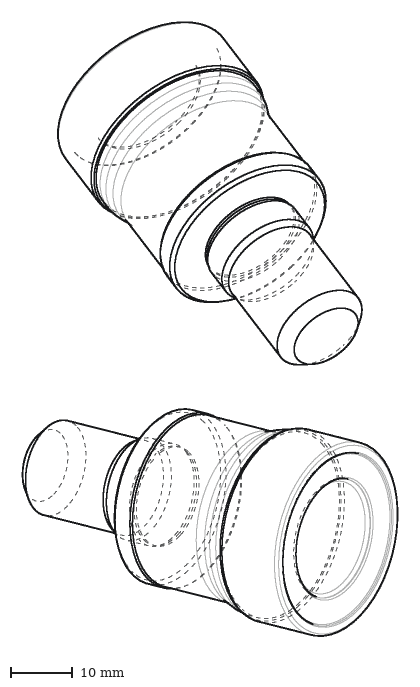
import cadquery as cq

total_length = 59.95

cap_radius = 32.1 / 2
cap_length = 11.75
front_edge = 0.5
rear_edge = 0.55
rear_edge_depth = 0.25
rim_inner_radius = 14.45
rim_rounding = 0.2
dish_end = 0.7
recess_radius = 9.85
recess_floor = 1.7
recess_edge = 0.3
floor_rounding = 0.55

neck_radius = 30.8 / 2
barrel_radius = 28.6 / 2
neck_end = 13.0
slope_start = 14.45
slope_end = 15.9
barrel_start = 17.9

flange_radius = 29.0 / 2
flange_ramp_start = 30.9
flange_start = 31.25
flange_end = 34.9
flange_chamfer = 0.6

collar_radius = 17.0 / 2
relief_radius = 8.2
relief_end = 35.4
collar_start = 36.1
collar_end = 40.8
shaft_start = 41.9
shaft_radius = 15.8 / 2
tip_chamfer_length = 2.15
tip_radius = 5.95


def revolve_about_x(profile):
    """Turn a closed profile, drawn as (x, radius), fully about the X axis."""
    return profile.close().revolve(360, (0, 0, 0), (1, 0, 0))


def make_cap():
    step_radius = rim_inner_radius - rim_rounding
    dish_start = 2 * rim_rounding
    wall_start = dish_end + recess_edge
    wall_end = recess_floor - floor_rounding

    profile = (
        cq.Workplane("XY")
        .moveTo(recess_floor, 0)
        .lineTo(recess_floor, recess_radius - floor_rounding)
        .tangentArcPoint((wall_end, recess_radius), relative=False)
        .lineTo(wall_start, recess_radius)
        .tangentArcPoint((dish_end, recess_radius + recess_edge), relative=False)
        .lineTo(dish_start, step_radius - rim_rounding)
        .radiusArc((rim_rounding, step_radius), -rim_rounding)
        .radiusArc((0, rim_inner_radius), rim_rounding)
        .lineTo(0, cap_radius - front_edge)
        .radiusArc((front_edge, cap_radius), front_edge)
        .lineTo(cap_length - rear_edge, cap_radius)
        .lineTo(cap_length, cap_radius - rear_edge_depth)
        .lineTo(cap_length, 0)
    )
    return revolve_about_x(profile)


def make_core():
    neck_corner = (neck_end + slope_start) / 2
    barrel_corner = (slope_end + barrel_start) / 2
    slope = (neck_radius - barrel_radius) / (barrel_corner - neck_corner)
    slope_start_radius = neck_radius - slope * (slope_start - neck_corner)
    slope_end_radius = barrel_radius + slope * (barrel_corner - slope_end)

    profile = (
        cq.Workplane("XY")
        .moveTo(cap_length, 0)
        .lineTo(cap_length, neck_radius)
        .lineTo(neck_end, neck_radius)
        .tangentArcPoint((slope_start, slope_start_radius), relative=False)
        .lineTo(slope_end, slope_end_radius)
        .tangentArcPoint((barrel_start, barrel_radius), relative=False)
        .lineTo(flange_ramp_start, barrel_radius)
        .lineTo(flange_start, flange_radius)
        .lineTo(flange_end - flange_chamfer, flange_radius)
        .lineTo(flange_end, flange_radius - flange_chamfer)
        .lineTo(flange_end, relief_radius)
        .lineTo(relief_end, relief_radius)
        .lineTo(collar_start, collar_radius)
        .lineTo(collar_end, collar_radius)
        .lineTo(shaft_start, shaft_radius)
        .lineTo(total_length - tip_chamfer_length, shaft_radius)
        .lineTo(total_length, tip_radius)
        .lineTo(total_length, 0)
    )
    return revolve_about_x(profile)


cap = make_cap()
core = make_core()

result = cq.Compound.makeCompound([cap.val(), core.val()])